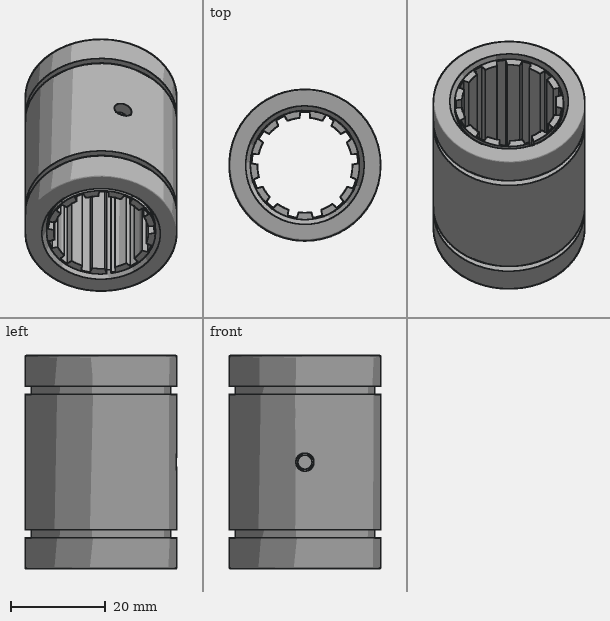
import cadquery as cq
import math

length = 45.0
outer_diameter = 32.0
bore_diameter = 23.0
mouth_diameter = 25.0
mouth_half_angle = 30.0
rim_fillet = 0.4

ring_groove_diameter = 29.5
ring_groove_width = 1.65
ring_groove_offset = 6.55

locking_hole_diameter = 3.8
peg_diameter = 3.0
peg_recess = 2.1

liner_end_gap = 0.5
liner_bore_diameter = 20.0
slot_count = 13
slot_mouth_width = 2.15
slot_floor_width = 1.95
slot_floor_diameter = 22.4
slit_slot_index = 12

half_length = length / 2
outer_radius = outer_diameter / 2
bore_radius = bore_diameter / 2
liner_length = length - 2 * liner_end_gap
slot_pitch = 360 / slot_count
mouth_depth = (mouth_diameter - bore_diameter) / 2 / math.tan(math.radians(mouth_half_angle))


def rod(diameter, height):
    """Solid cylinder along Z, centred on the origin."""
    return cq.Workplane("XY", origin=(0, 0, -height / 2)).circle(diameter / 2).extrude(height)


def mouth_cone():
    """Flared opening of the bore at the top end."""
    profile = [
        (0, half_length - mouth_depth),
        (bore_radius, half_length - mouth_depth),
        (mouth_diameter / 2, half_length),
        (0, half_length),
    ]
    return cq.Workplane("XZ").polyline(profile).close().revolve(360, (0, 0), (0, 1))


def radial_rod(diameter, end_radius):
    """Cylinder from the part axis out to end_radius, pointing along -Y."""
    return cq.Workplane("XZ").circle(diameter / 2).extrude(end_radius)


def make_sleeve():
    sleeve = rod(outer_diameter, length).faces("<Z or >Z").fillet(rim_fillet)
    sleeve = sleeve.cut(rod(bore_diameter, length))

    top_mouth = mouth_cone()
    sleeve = sleeve.cut(top_mouth).cut(top_mouth.mirror("XY"))

    ring = rod(outer_diameter, ring_groove_width).cut(rod(ring_groove_diameter, ring_groove_width))
    groove_height = half_length - ring_groove_offset - ring_groove_width / 2
    for side in (1, -1):
        sleeve = sleeve.cut(ring.translate((0, 0, side * groove_height)))

    return sleeve.cut(radial_rod(locking_hole_diameter, outer_radius))


def slot_cutter():
    """Slot facing +Y: walls spread slightly towards the axis, floor rounded about the axis."""
    mouth_radius = liner_bore_diameter / 2
    floor_radius = slot_floor_diameter / 2
    half_mouth = slot_mouth_width / 2
    half_floor = slot_floor_width / 2
    corner_y = math.sqrt(floor_radius**2 - half_floor**2)
    base_y = math.sqrt(mouth_radius**2 - half_mouth**2)
    return (
        cq.Workplane("XY", origin=(0, 0, -liner_length / 2))
        .moveTo(-half_mouth, base_y)
        .lineTo(-half_floor, corner_y)
        .threePointArc((0, floor_radius), (half_floor, corner_y))
        .lineTo(half_mouth, base_y)
        .close()
        .extrude(liner_length)
    )


def slit_cutter():
    """Split through the liner wall, from the centre of a +Y slot to its -X wall."""
    width = slot_floor_width / 2
    return cq.Workplane("XY").box(width, bore_radius, liner_length).translate((-width / 2, bore_radius, 0))


def make_liner():
    liner = rod(bore_diameter, liner_length)
    liner = liner.union(radial_rod(peg_diameter, outer_radius - peg_recess))
    liner = liner.cut(rod(liner_bore_diameter, liner_length))

    slot = slot_cutter()
    for index in range(slot_count):
        liner = liner.cut(slot.rotate((0, 0, 0), (0, 0, 1), slot_pitch * index))

    slit = slit_cutter().rotate((0, 0, 0), (0, 0, 1), slot_pitch * slit_slot_index)
    return liner.cut(slit)


sleeve = make_sleeve()
liner = make_liner()

result = cq.Compound.makeCompound([sleeve.val(), liner.val()])